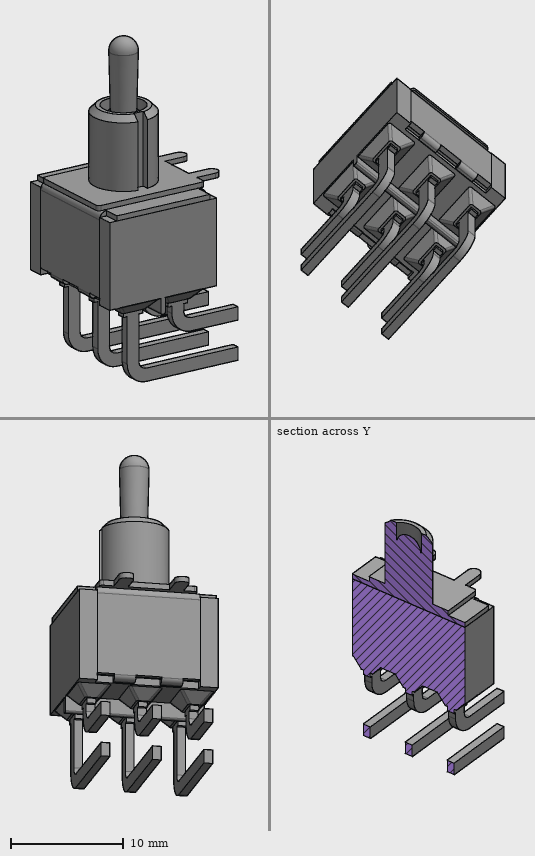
import cadquery as cq
import math


case_width = 12.7
case_depth = 11.47
case_bottom = 8.1
case_top = 16.43

sheet = 0.5
cover_top = case_top + sheet
apron_width = 9.42
pocket_height = 0.65
apron_bottom = case_bottom + pocket_height
bend_inner_radius = 0.25
bend_outer_radius = bend_inner_radius + sheet

clip_width = 1.95
clip_spacing = 4.3
clip_straight = 0.05
clip_bend_radius = sheet

pocket_depth = 0.75

plate_width = 8.93
plate_corner_radius = 0.3
plate_top = cover_top + sheet
tongue_width = 1.3
tongue_spacing = 5.08
tongue_reach = 2.67

bushing_diameter = 6.23
bushing_top = 24.52
bushing_chamfer = 0.6
keyway_width = 1.02
keyway_floor = 2.4

ball_diameter = 4.2
ball_center = 22.32
lever_neck_diameter = 2.3
lever_tip_diameter = 2.67
lever_top = 31.0
tip_center = lever_top - lever_tip_diameter / 2

partition_bottom = 6.57
partition_edge_radius = 0.15

column_pitch = 4.7
row_pitch = 4.8
seal_width = 3.07
seal_depth = 4.37
seal_height = 1.05
seal_inset = 0.9
seal_edge_radius = 0.3
terminal_thickness = 0.8
terminal_width = 1.27
shoulder_width = 2.08
shoulder_top = case_bottom - seal_height
shoulder_bottom = partition_bottom
terminal_bend_inner_radius = 0.8
terminal_bend_outer_radius = terminal_bend_inner_radius + terminal_width
terminal_tip = 8.87
short_terminal_bottom = 3.8
terminal_rows = [(-row_pitch / 2, 0.0), (row_pitch / 2, short_terminal_bottom)]


def block(width, depth, bottom, top):
    """Box centred on the Z axis between two heights."""
    return cq.Workplane("XY").workplane(offset=bottom).rect(width, depth).extrude(top - bottom)


def make_core():
    """Middle of the case, which the cover wraps with its bends."""
    core = block(apron_width, case_depth - 2 * sheet, case_bottom, case_top)
    return core.edges("|X and >Z").fillet(bend_inner_radius)


def make_housing():
    """Rectangular case with a channel for the apron, and a pocket below it, at front and back."""
    outer = block(case_width, case_depth, case_bottom, case_top)
    middle = block(apron_width, case_depth, case_bottom, case_top)
    pocket = block(apron_width, pocket_depth, case_bottom, apron_bottom)
    pocket_y = (case_depth - pocket_depth) / 2
    housing = outer.cut(middle).union(make_core())
    return housing.cut(pocket.translate((0, pocket_y, 0))).cut(pocket.translate((0, -pocket_y, 0)))


def make_partition():
    """Thin wall between the two terminal rows."""
    wall = block(case_width, sheet, partition_bottom, case_bottom)
    return wall.edges("|X and <Z").fillet(partition_edge_radius)


def make_seal():
    """Tapered seal under the case, with rounded slanting edges."""
    taper = math.degrees(math.atan(seal_inset / seal_height))
    seal = cq.Workplane("XY").rect(seal_width, seal_depth).extrude(-seal_height, taper=taper)
    seal = seal.edges("not(#Z)").fillet(seal_edge_radius)
    return seal.translate((0, 0, case_bottom))


def make_terminal(row_y, bottom):
    """Flat terminal that drops from a shoulder and bends toward +Y."""
    front = row_y - terminal_width / 2
    back = row_y + terminal_width / 2
    top = bottom + terminal_width
    inner = terminal_bend_inner_radius
    outer = terminal_bend_outer_radius
    leg = (
        cq.Workplane("YZ")
        .moveTo(front, shoulder_top)
        .lineTo(front, bottom + outer)
        .radiusArc((front + outer, bottom), -outer)
        .lineTo(terminal_tip, bottom)
        .lineTo(terminal_tip, top)
        .lineTo(back + inner, top)
        .radiusArc((back, top + inner), inner)
        .lineTo(back, shoulder_top)
        .close()
        .extrude(terminal_thickness / 2, both=True)
    )
    shoulder = block(terminal_thickness, shoulder_width, shoulder_bottom, shoulder_top)
    return leg.union(shoulder.translate((0, row_y, 0)))


def make_case():
    """Case body: housing, partition, seals and terminals."""
    case = make_housing().union(make_partition())
    for row_y, bottom in terminal_rows:
        seal = make_seal().translate((0, row_y, 0))
        terminal = make_terminal(row_y, bottom)
        for column in (-1, 0, 1):
            place = (column * column_pitch, 0, 0)
            case = case.union(seal.translate(place)).union(terminal.translate(place))
    return case


def make_sheet_cover():
    """Lid as wide as the case, with a narrower apron bent down at the front and the back."""
    lid = block(case_width, case_depth - 2 * bend_outer_radius, case_top, cover_top)
    saddle = block(apron_width, case_depth, apron_bottom, cover_top)
    saddle = saddle.edges("|X and >Z").fillet(bend_outer_radius).cut(make_core())
    return lid.union(saddle)


def make_clips():
    """Two clips under each apron, each with a quarter-round foot that reaches the pocket wall."""
    outside = case_depth / 2
    inside = outside - pocket_depth
    bend_top = apron_bottom - clip_straight
    clip_bottom = bend_top - clip_bend_radius
    clip = (
        cq.Workplane("YZ")
        .moveTo(outside, apron_bottom)
        .lineTo(outside, bend_top)
        .radiusArc((outside - clip_bend_radius, clip_bottom), clip_bend_radius)
        .lineTo(inside, clip_bottom)
        .lineTo(inside, apron_bottom)
        .close()
        .extrude(clip_width / 2, both=True)
    )
    left = clip.translate((-clip_spacing / 2, 0, 0))
    right = clip.translate((clip_spacing / 2, 0, 0))
    back_pair = left.union(right)
    return back_pair.union(back_pair.mirror("XZ"))


def make_plate():
    """Mounting plate with rounded corners and two round-ended tongues at the back."""
    plate = block(plate_width, case_depth, cover_top, plate_top)
    plate = plate.edges("|Z").fillet(plate_corner_radius)
    tongues = (
        cq.Workplane("XY")
        .workplane(offset=cover_top)
        .pushPoints([(side * tongue_spacing / 2, case_depth / 2) for side in (-1, 1)])
        .slot2D(2 * tongue_reach, tongue_width, 90)
        .extrude(sheet)
    )
    return plate.union(tongues)


def make_bushing():
    """Chamfered cylinder, bored down to the ball centre, with a keyway along its +X side."""
    height = bushing_top - plate_top
    bushing = cq.Workplane("XY").workplane(offset=plate_top).circle(bushing_diameter / 2).extrude(height)
    bushing = bushing.faces(">Z").chamfer(bushing_chamfer)
    keyway_depth = bushing_diameter / 2 - keyway_floor
    keyway = block(keyway_depth, keyway_width, plate_top, bushing_top)
    bushing = bushing.cut(keyway.translate((keyway_floor + keyway_depth / 2, 0, 0)))
    bore = cq.Workplane("XY").workplane(offset=ball_center).circle(ball_diameter / 2)
    return bushing.cut(bore.extrude(bushing_top - ball_center))


def make_lever():
    """Bat lever: a half ball filling the bore, and a shaft widening to a domed tip."""
    ball_radius = ball_diameter / 2
    neck_radius = lever_neck_diameter / 2
    tip_radius = lever_tip_diameter / 2
    half_ball = (
        cq.Workplane("XZ")
        .moveTo(0, ball_center)
        .lineTo(ball_radius, ball_center)
        .radiusArc((0, ball_center + ball_radius), -ball_radius)
        .close()
        .revolve(360, (0, 0, 0), (0, 1, 0))
    )
    shaft = (
        cq.Workplane("XZ")
        .moveTo(0, ball_center)
        .lineTo(neck_radius, ball_center)
        .lineTo(tip_radius, tip_center)
        .radiusArc((0, lever_top), -tip_radius)
        .close()
        .revolve(360, (0, 0, 0), (0, 1, 0))
    )
    return half_ball.union(shaft)


def make_cover():
    """Cover body: bent sheet, clips, mounting plate, bushing and lever."""
    cover = make_sheet_cover().union(make_clips()).union(make_plate())
    return cover.union(make_bushing()).union(make_lever())


case = make_case()
cover = make_cover()

result = cq.Compound.makeCompound([case.solids().val(), cover.solids().val()])